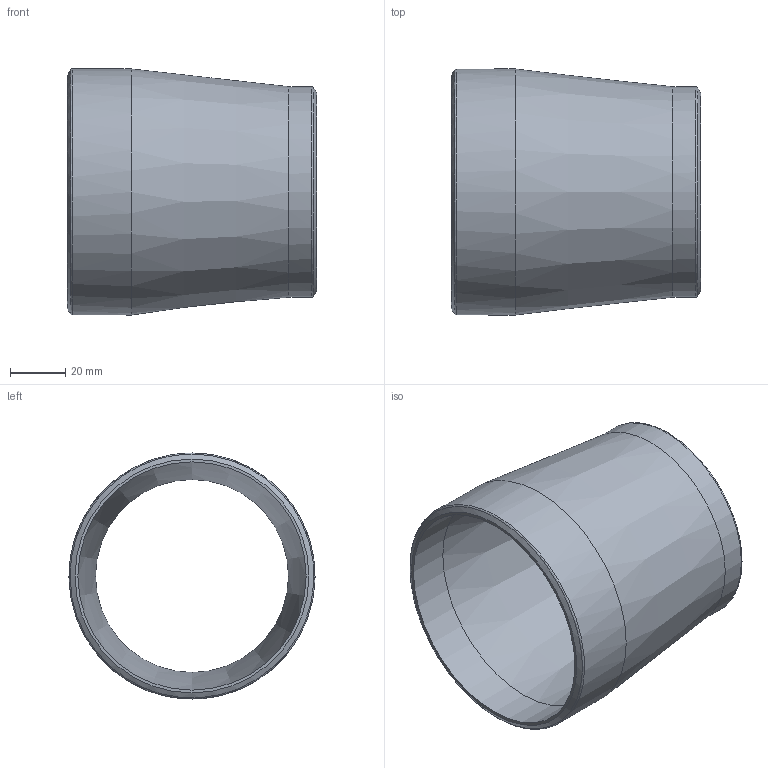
import cadquery as cq
import math

length = 90.0
large_diameter = 88.9
small_diameter = 76.1
wall = 3.2
large_collar_length = 23.0
small_collar_length = 10.0
large_bore_length = 15.0
small_bore_length = 18.0

land_width = 1.0
bevel_angle = math.radians(30.0)
bevel_edge_radius = 0.8

large_radius = large_diameter / 2
small_radius = small_diameter / 2
bevel_height = wall - land_width
bevel_length = bevel_height * math.tan(bevel_angle)
taper_end = length - small_collar_length
bore_taper_end = length - small_bore_length


def make_body():
    """Revolve the wall section, with beveled ends, around the X axis."""
    section = (
        cq.Workplane("XZ")
        .moveTo(0, large_radius - wall)
        .lineTo(0, large_radius - bevel_height)
        .lineTo(bevel_length, large_radius)
        .lineTo(large_collar_length, large_radius)
        .lineTo(taper_end, small_radius)
        .lineTo(length - bevel_length, small_radius)
        .lineTo(length, small_radius - bevel_height)
        .lineTo(length, small_radius - wall)
        .lineTo(bore_taper_end, small_radius - wall)
        .lineTo(large_bore_length, large_radius - wall)
        .close()
    )
    return section.revolve(360, (0, 0, 0), (1, 0, 0))


def bevel_edge(bevel_x, radius):
    """Select the circle where a bevel meets the outside of its collar."""
    tolerance = 0.01
    reach = radius + tolerance
    return cq.selectors.BoxSelector(
        (bevel_x - tolerance, -reach, -reach),
        (bevel_x + tolerance, reach, reach),
        boundingbox=True,
    )


def round_bevel_edges(body):
    """Round the outer edge of both bevels."""
    for bevel_x, radius in (
        (bevel_length, large_radius),
        (length - bevel_length, small_radius),
    ):
        body = body.edges(bevel_edge(bevel_x, radius)).fillet(bevel_edge_radius)
    return body


result = round_bevel_edges(make_body())